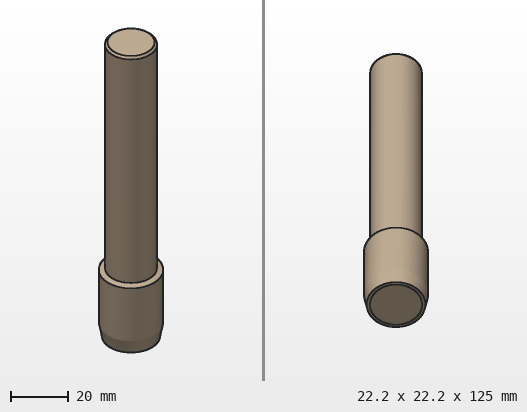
import cadquery as cq

overall_length = 125.0
pin_radius = 9.0
pin_chamfer = 0.9

sleeve_radius = 11.1
sleeve_height = 28.9
sleeve_top_drop = 0.8
nose_height = 5.6
nose_end_radius = 10.1


def make_pin():
    """Plain round pin with a chamfered top edge, flush with the sleeve's lower end."""
    return (
        cq.Workplane("XY")
        .circle(pin_radius)
        .extrude(overall_length)
        .faces(">Z")
        .edges()
        .chamfer(pin_chamfer)
    )


def make_sleeve():
    """Revolved sleeve with a conical top face and a tapered nose."""
    return (
        cq.Workplane("XZ")
        .moveTo(pin_radius, 0)
        .lineTo(nose_end_radius, 0)
        .lineTo(sleeve_radius, nose_height)
        .lineTo(sleeve_radius, sleeve_height - sleeve_top_drop)
        .lineTo(pin_radius, sleeve_height)
        .close()
        .revolve(360, (0, 0, 0), (0, 1, 0))
    )


pin = make_pin()
sleeve = make_sleeve()

result = cq.Compound.makeCompound([pin.val(), sleeve.val()])